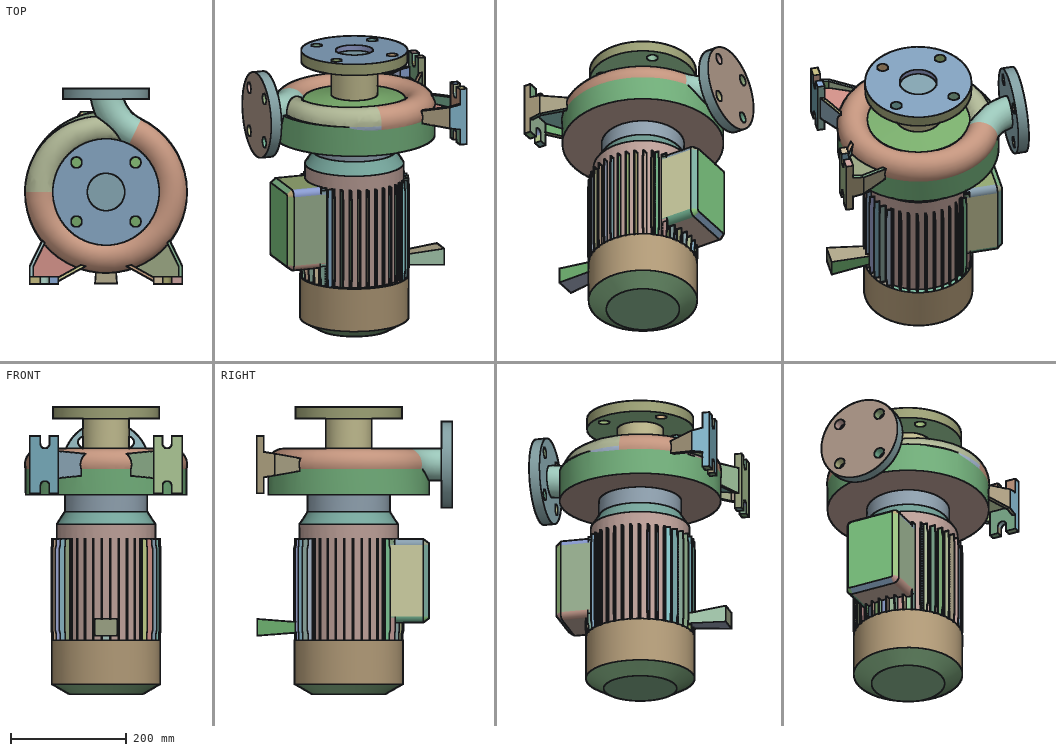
import math

import cadquery as cq


SUCTION_FACE_Z = 100.0
SUCTION_FLANGE_DIA = 185.0
SUCTION_FLANGE_THK = 20.0
SUCTION_BOLT_CIRCLE = 145.0
SUCTION_BORE_DIA = 65.0
SUCTION_BORE_DEPTH = 10.0
NECK_RADIUS = 40.3
BOLT_HOLE_DIA = 19.0
BOLT_COUNT = 4
BOLT_START_DEG = 45.0

DISCHARGE_FACE_Y = 180.0
DISCHARGE_FLANGE_DIA = 150.0
DISCHARGE_FLANGE_THK = 19.0
DISCHARGE_BOLT_CIRCLE = 110.0

TUBE_RADIUS = 28.0
VOLUTE_RADIUS = 113.0
TONGUE_RADIUS = 20.0
TAPER_START_DEG = 180.0
TAPER_STEPS = 6
TAPER_EXPONENT = 1.75
VOLUTE_INNER_RADIUS = VOLUTE_RADIUS - TUBE_RADIUS

BEND_RADIUS = (DISCHARGE_FACE_Y**2 - VOLUTE_RADIUS**2) / (2 * VOLUTE_RADIUS)
BEND_START_DEG = math.degrees(math.atan2(DISCHARGE_FACE_Y, BEND_RADIUS))

CASING_RADIUS = 140.0
CASING_BOTTOM_Z = -52.5
COVER_INNER_Z = 20.0
COVER_OUTER_Z = 13.0
COVER_OUTER_RADIUS = 90.0

LANTERN_RADIUS = 71.7
LANTERN_CONE_TOP_Z = -81.5
LANTERN_CONE_BOTTOM_Z = -103.5
MOTOR_RADIUS = 86.0
FIN_TOP_Z = -129.0
FIN_BOTTOM_Z = -304.5
COWL_RADIUS = 94.5
COWL_CONE_Z = -381.0
COWL_END_RADIUS = 63.5
COWL_END_Z = -399.0

FIN_THK = 2.0
FIN_RADIUS = 95.5
FIN_END_INSET = 1.2
FIN_END_LENGTH = 11.0
FIN_RAMP_LENGTH = 5.0
FIN_STEP_DEG = 9.0
FINS_PER_SIDE = 10

BOX_WIDTH = 102.0
BOX_FACE_Y = 139.5
BOX_TOP_Z = FIN_TOP_Z
BOX_BOTTOM_Z = -274.5
BOX_CORNER_RADIUS = 11.0
BOX_CHAMFER_DEPTH = 10.0
BOX_CHAMFER_INSET = 7.5

SUPPORT_FACE_Y = -159.0
SUPPORT_WIDTH = 38.5
SUPPORT_HEIGHT = 29.5
SUPPORT_CENTRE_Z = -282.5
SUPPORT_OVERLAP = 5.0
SUPPORT_TAPER_DEG = 4.5

FOOT_FACE_Y = -160.0
FOOT_THK = 12.5
FOOT_WIDTH = 50.0
FOOT_HEIGHT = 100.0
FOOT_OUTER_X = 132.5
FOOT_SLOT_X = 106.0
FOOT_SLOT_WIDTH = 15.5
FOOT_SLOT_DEPTH = 21.5
FOOT_BACK_Y = FOOT_FACE_Y + FOOT_THK
FOOT_INNER_X = FOOT_OUTER_X - FOOT_WIDTH

RIB_THK = 6.0
OUTER_RIB_BEND_Y = -128.5
OUTER_RIB_DEG = 64.0
OUTER_RIB_LENGTH = 55.0
INNER_RIB_DEG = 29.0
INNER_RIB_START_Y = -155.0
INNER_RIB_LENGTH = 58.0
RIB_HALF_HEIGHT = 22.3
RIB_TAPER_DEG = 10.0
WEB_THK = 8.0
BRACKET_ROOT = (65.0, -75.0)


def bolt_holes(circle_dia, depth):
    """Cutters for the flange bolt holes, extruded downwards from Z = 0."""
    return (
        cq.Workplane("XY")
        .polarArray(circle_dia / 2, BOLT_START_DEG, 360, BOLT_COUNT)
        .circle(BOLT_HOLE_DIA / 2)
        .extrude(-depth)
    )


def flange(dia, thickness, bolt_circle):
    """Drilled flange with its face on Z = 0, extending downwards."""
    disc = cq.Workplane("XY").circle(dia / 2).extrude(-thickness)
    return disc.cut(bolt_holes(bolt_circle, thickness))


def suction_flange():
    bore = cq.Workplane("XY").circle(SUCTION_BORE_DIA / 2).extrude(-SUCTION_BORE_DEPTH)
    body = flange(SUCTION_FLANGE_DIA, SUCTION_FLANGE_THK, SUCTION_BOLT_CIRCLE).cut(bore)
    return body.translate((0, 0, SUCTION_FACE_Z))


def discharge_flange():
    body = flange(DISCHARGE_FLANGE_DIA, DISCHARGE_FLANGE_THK, DISCHARGE_BOLT_CIRCLE)
    return body.rotate((0, 0, 0), (1, 0, 0), -90).translate((0, DISCHARGE_FACE_Y, 0))


def turned_body():
    """Neck, cover, casing, lantern, motor body and fan cowl as one revolved profile."""
    profile = [
        (0, SUCTION_FACE_Z - SUCTION_FLANGE_THK),
        (NECK_RADIUS, SUCTION_FACE_Z - SUCTION_FLANGE_THK),
        (NECK_RADIUS, COVER_INNER_Z),
        (COVER_OUTER_RADIUS, COVER_OUTER_Z),
        (COVER_OUTER_RADIUS, 0),
        (CASING_RADIUS, 0),
        (CASING_RADIUS, CASING_BOTTOM_Z),
        (LANTERN_RADIUS, CASING_BOTTOM_Z),
        (LANTERN_RADIUS, LANTERN_CONE_TOP_Z),
        (MOTOR_RADIUS, LANTERN_CONE_BOTTOM_Z),
        (MOTOR_RADIUS, FIN_BOTTOM_Z),
        (COWL_RADIUS, FIN_BOTTOM_Z),
        (COWL_RADIUS, COWL_CONE_Z),
        (COWL_END_RADIUS, COWL_END_Z),
        (0, COWL_END_Z),
    ]
    return cq.Workplane("XZ").polyline(profile).close().revolve(360, (0, 0), (0, 1))


def volute_section_plane(angle_deg, centre_radius):
    """Plane across the volute tube at the given angle around the axis."""
    angle = math.radians(angle_deg)
    radial = (math.cos(angle), math.sin(angle), 0)
    tangent = (-math.sin(angle), math.cos(angle), 0)
    origin = (centre_radius * radial[0], centre_radius * radial[1], 0)
    return cq.Plane(origin=origin, xDir=radial, normal=tangent)


def volute_tube():
    """Constant-size part of the volute, from the taper round to the discharge bend."""
    sweep_deg = 360 - TAPER_START_DEG + BEND_START_DEG
    return (
        cq.Workplane("XZ")
        .center(-VOLUTE_RADIUS, 0)
        .circle(TUBE_RADIUS)
        .revolve(sweep_deg, (VOLUTE_RADIUS, 0), (VOLUTE_RADIUS, 1))
    )


def discharge_bend():
    plane = volute_section_plane(BEND_START_DEG, VOLUTE_RADIUS)
    return (
        cq.Workplane(plane)
        .circle(TUBE_RADIUS)
        .revolve(BEND_START_DEG, (BEND_RADIUS, 0), (BEND_RADIUS, 1))
    )


def volute_taper():
    """Narrowing end of the volute; its inner side stays on the volute inner circle."""
    sections = []
    for step in range(TAPER_STEPS + 1):
        fraction = step / TAPER_STEPS
        angle_deg = TAPER_START_DEG + (BEND_START_DEG - TAPER_START_DEG) * fraction
        radius = TUBE_RADIUS - (TUBE_RADIUS - TONGUE_RADIUS) * fraction**TAPER_EXPONENT
        plane = volute_section_plane(angle_deg, VOLUTE_INNER_RADIUS + radius)
        sections.append(cq.Workplane(plane).circle(radius).wires().val())
    return cq.Workplane(cq.Solid.makeLoft(sections))


def cooling_fin(offset):
    """One fin standing off the YZ plane by the offset, running from the -Y to the +Y side."""
    half_length = math.sqrt(FIN_RADIUS**2 - (abs(offset) + FIN_THK / 2) ** 2)
    end_half_length = half_length - FIN_END_INSET
    ramp_end = FIN_END_LENGTH + FIN_RAMP_LENGTH
    outline = [
        (end_half_length, FIN_TOP_Z),
        (end_half_length, FIN_TOP_Z - FIN_END_LENGTH),
        (half_length, FIN_TOP_Z - ramp_end),
        (half_length, FIN_BOTTOM_Z + ramp_end),
        (end_half_length, FIN_BOTTOM_Z + FIN_END_LENGTH),
        (end_half_length, FIN_BOTTOM_Z),
    ]
    mirrored = [(-y, z) for y, z in reversed(outline)]
    plate = cq.Workplane("YZ").polyline(outline + mirrored).close().extrude(FIN_THK / 2, both=True)
    return plate.translate((offset, 0, 0))


def cooling_fins():
    """Two crossing sets of parallel fins; their middles lie inside the motor body."""
    fins = cq.Workplane("XY")
    for index in range(FINS_PER_SIDE):
        angle = math.radians((index - (FINS_PER_SIDE - 1) / 2) * FIN_STEP_DEG)
        fins = fins.union(cooling_fin(FIN_RADIUS * math.sin(angle)))
    return fins.union(fins.rotate((0, 0, 0), (0, 0, 1), 90))


def terminal_box():
    height = BOX_TOP_Z - BOX_BOTTOM_Z
    body = (
        cq.Workplane("XY")
        .box(BOX_WIDTH, BOX_FACE_Y, height, centered=(True, False, False))
        .translate((0, 0, BOX_BOTTOM_Z))
        .edges("|Y")
        .fillet(BOX_CORNER_RADIUS)
    )
    return body.faces(">Y").chamfer(BOX_CHAMFER_INSET, BOX_CHAMFER_DEPTH)


def motor_support():
    length = -SUPPORT_FACE_Y - MOTOR_RADIUS + SUPPORT_OVERLAP
    return (
        cq.Workplane("XZ", origin=(0, SUPPORT_FACE_Y, SUPPORT_CENTRE_Z))
        .rect(SUPPORT_WIDTH, SUPPORT_HEIGHT)
        .extrude(-length, taper=SUPPORT_TAPER_DEG)
    )


def slotted_foot():
    """Foot plate on the +X side with an open slot in its top and bottom ends."""
    plate = (
        cq.Workplane("XY")
        .box(FOOT_WIDTH, FOOT_THK, FOOT_HEIGHT, centered=(False, False, True))
        .translate((FOOT_INNER_X, FOOT_FACE_Y, 0))
    )
    slot_length = 2 * FOOT_SLOT_DEPTH
    slots = (
        cq.Workplane("XZ", origin=(0, FOOT_FACE_Y, 0))
        .pushPoints([(FOOT_SLOT_X, FOOT_HEIGHT / 2), (FOOT_SLOT_X, -FOOT_HEIGHT / 2)])
        .slot2D(slot_length, FOOT_SLOT_WIDTH, 90)
        .extrude(-FOOT_THK)
    )
    return plate.cut(slots)


def bracket_plan():
    """Outline of ribs and web on the +X side, from inside the foot to inside the volute."""
    outer_angle = math.radians(OUTER_RIB_DEG)
    inner_angle = math.radians(INNER_RIB_DEG)
    outer_tip = (
        FOOT_OUTER_X - OUTER_RIB_LENGTH * math.cos(outer_angle),
        OUTER_RIB_BEND_Y + OUTER_RIB_LENGTH * math.sin(outer_angle),
    )
    inner_tip = (
        FOOT_INNER_X - INNER_RIB_LENGTH * math.cos(inner_angle),
        INNER_RIB_START_Y + INNER_RIB_LENGTH * math.sin(inner_angle),
    )
    outline = [
        (FOOT_OUTER_X, INNER_RIB_START_Y),
        (FOOT_OUTER_X, OUTER_RIB_BEND_Y),
        outer_tip,
        BRACKET_ROOT,
        inner_tip,
        (FOOT_INNER_X, INNER_RIB_START_Y),
    ]
    return cq.Workplane("XY").polyline(outline).close()


def foot_bracket():
    """Two ribs joined by a mid-height web, the ribs getting lower away from the foot."""
    taper = math.tan(math.radians(RIB_TAPER_DEG))
    start_half_height = RIB_HALF_HEIGHT + (FOOT_BACK_Y - INNER_RIB_START_Y) * taper
    end_half_height = RIB_HALF_HEIGHT - (BRACKET_ROOT[1] - FOOT_BACK_Y) * taper
    side_outline = [
        (INNER_RIB_START_Y, -start_half_height),
        (BRACKET_ROOT[1], -end_half_height),
        (BRACKET_ROOT[1], end_half_height),
        (INNER_RIB_START_Y, start_half_height),
    ]
    wedge = cq.Workplane("YZ").polyline(side_outline).close().extrude(FOOT_OUTER_X)
    web = bracket_plan().extrude(WEB_THK / 2, both=True)
    pocket = bracket_plan().offset2D(-RIB_THK, "intersection").extrude(start_half_height, both=True)
    block = bracket_plan().extrude(start_half_height, both=True)
    return wedge.intersect(block).cut(pocket).union(web)


def mounting_feet():
    right_side = slotted_foot().union(foot_bracket())
    return right_side.union(right_side.mirror("YZ"))


result = (
    turned_body()
    .union(volute_tube())
    .union(volute_taper())
    .union(discharge_bend())
    .union(suction_flange())
    .union(discharge_flange())
    .union(cooling_fins())
    .union(terminal_box())
    .union(motor_support())
    .union(mounting_feet())
)